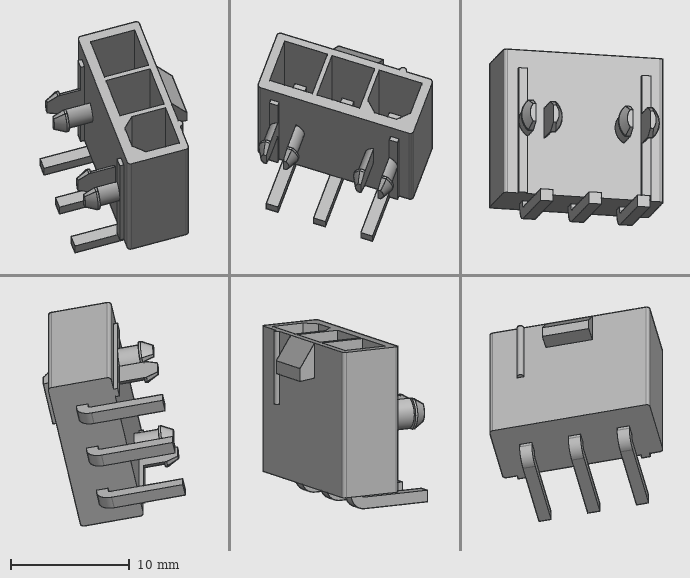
import cadquery as cq
import math


CIRCUITS = 3
PITCH = 4.2
BODY_LENGTH = 13.8
BODY_DEPTH = 5.4
BODY_HEIGHT = 12.45
BODY_CORNER_RADIUS = 0.3

CAVITY_LENGTH = 3.8
CAVITY_WIDTH = 3.9
CAVITY_FRONT_WALL = 0.9
CAVITY_FLOOR = 2.5
KEYED_CORNER = 0.93

PIN_WIDTH = 1.05
PIN_THICKNESS = 1.0
PIN_AXIS_Y = 2.9
PIN_TOP = 8.0
PIN_REACH = 4.0
PIN_DROP = 1.6
PIN_INNER_RADIUS = 0.3

RIB_WIDTH = 0.75
RIB_THICKNESS = 0.35
RIB_HEIGHT = 10.8

CLIP_SLOT = 1.5
CLIP_HEIGHT = 2.6
CLIP_AXIS_Z = 6.2
CLIP_SHANK_RADIUS = 1.5
CLIP_HEAD_RADIUS = 1.75
CLIP_TIP_RADIUS = 1.25
CLIP_TIP_HEIGHT = 1.5
CLIP_HEAD_START = 2.15
CLIP_TAPER_START = 2.35
CLIP_REACH = 3.3

LATCH_WIDTH = 4.0
LATCH_DEPTH = 1.4
LATCH_RAMP_BOTTOM = 10.4
LATCH_TIP_BOTTOM = 9.3
LATCH_ROOT_BOTTOM = 9.45
BEAD_RADIUS = 0.3
BEAD_BOTTOM = 6.2

circuit_positions = [PITCH * (i - (CIRCUITS - 1) / 2) for i in range(CIRCUITS)]
end_positions = [circuit_positions[0], circuit_positions[-1]]


def make_housing():
    """Block with rounded upright edges."""
    block = cq.Workplane("XY").box(BODY_LENGTH, BODY_DEPTH, BODY_HEIGHT, centered=(True, False, False))
    return block.edges("|Z").fillet(BODY_CORNER_RADIUS)


def make_cavity(x, keyed):
    """Contact cavity open at the top; a keyed one has its two front corners cut off."""
    cavity = (
        cq.Workplane("XY")
        .box(CAVITY_LENGTH, CAVITY_WIDTH, BODY_HEIGHT - CAVITY_FLOOR, centered=(True, False, False))
        .translate((x, CAVITY_FRONT_WALL, CAVITY_FLOOR))
    )
    if keyed:
        cavity = cavity.edges("|Z and <Y").chamfer(KEYED_CORNER)
    return cavity


def make_pin(x):
    """Pin that leaves the housing downwards and bends forwards towards the board."""
    front = PIN_AXIS_Y - PIN_THICKNESS / 2
    back = PIN_AXIS_Y + PIN_THICKNESS / 2
    tail_top = PIN_THICKNESS - PIN_DROP
    bend_start = tail_top + PIN_INNER_RADIUS
    outer_radius = PIN_INNER_RADIUS + PIN_THICKNESS
    bend_y = front - PIN_INNER_RADIUS
    diagonal = math.sqrt(0.5)
    return (
        cq.Workplane("YZ", origin=(x, 0, 0))
        .moveTo(front, PIN_TOP)
        .lineTo(front, bend_start)
        .threePointArc(
            (bend_y + diagonal * PIN_INNER_RADIUS, bend_start - diagonal * PIN_INNER_RADIUS),
            (bend_y, tail_top),
        )
        .lineTo(-PIN_REACH, tail_top)
        .lineTo(-PIN_REACH, -PIN_DROP)
        .lineTo(bend_y, -PIN_DROP)
        .threePointArc(
            (bend_y + diagonal * outer_radius, bend_start - diagonal * outer_radius),
            (back, bend_start),
        )
        .lineTo(back, PIN_TOP)
        .close()
        .extrude(PIN_WIDTH / 2, both=True)
    )


def make_rib(side):
    """Upright stand-off rib, in line with the outer half of a clip."""
    center_x = end_positions[-1] + (CLIP_SLOT + RIB_WIDTH) / 2
    return (
        cq.Workplane("XY")
        .box(RIB_WIDTH, RIB_THICKNESS, RIB_HEIGHT, centered=(True, False, False))
        .translate((side * center_x, -RIB_THICKNESS, 0))
    )


def make_clip(x):
    """Barbed round peg, flattened above and below and split by an upright slot."""
    peg = (
        cq.Workplane("XY")
        .lineTo(CLIP_SHANK_RADIUS, 0)
        .lineTo(CLIP_SHANK_RADIUS, -CLIP_HEAD_START)
        .lineTo(CLIP_HEAD_RADIUS, -CLIP_HEAD_START)
        .lineTo(CLIP_HEAD_RADIUS, -CLIP_TAPER_START)
        .lineTo(CLIP_TIP_RADIUS, -CLIP_REACH)
        .lineTo(0, -CLIP_REACH)
        .close()
        .revolve(360, (0, 0, 0), (0, 1, 0))
    )
    flattened_profile = (
        cq.Workplane("YZ")
        .moveTo(0, CLIP_HEIGHT / 2)
        .lineTo(-CLIP_TAPER_START, CLIP_HEIGHT / 2)
        .lineTo(-CLIP_REACH, CLIP_TIP_HEIGHT / 2)
        .lineTo(-CLIP_REACH, -CLIP_TIP_HEIGHT / 2)
        .lineTo(-CLIP_TAPER_START, -CLIP_HEIGHT / 2)
        .lineTo(0, -CLIP_HEIGHT / 2)
        .close()
        .extrude(CLIP_HEAD_RADIUS, both=True)
    )
    slot = cq.Workplane("XY").box(CLIP_SLOT, 2 * CLIP_REACH, 2 * CLIP_HEIGHT)
    return peg.intersect(flattened_profile).cut(slot).translate((x, 0, CLIP_AXIS_Z))


def make_latch():
    """Wedge on the back face with a slightly hooked underside."""
    return (
        cq.Workplane("YZ")
        .moveTo(BODY_DEPTH, BODY_HEIGHT)
        .lineTo(BODY_DEPTH + LATCH_DEPTH, LATCH_RAMP_BOTTOM)
        .lineTo(BODY_DEPTH + LATCH_DEPTH, LATCH_TIP_BOTTOM)
        .lineTo(BODY_DEPTH, LATCH_ROOT_BOTTOM)
        .close()
        .extrude(LATCH_WIDTH / 2, both=True)
    )


def make_bead():
    """Half-round bead marking the keyed circuit."""
    return (
        cq.Workplane("XY", origin=(circuit_positions[-1], BODY_DEPTH, BEAD_BOTTOM))
        .circle(BEAD_RADIUS)
        .extrude(BODY_HEIGHT - BEAD_BOTTOM)
    )


result = make_housing().union(make_latch()).union(make_bead())

for side in (-1, 1):
    result = result.union(make_rib(side))

for x in end_positions:
    result = result.union(make_clip(x))

for x in circuit_positions:
    result = result.cut(make_cavity(x, keyed=(x == circuit_positions[-1])))

for x in circuit_positions:
    result = result.union(make_pin(x))